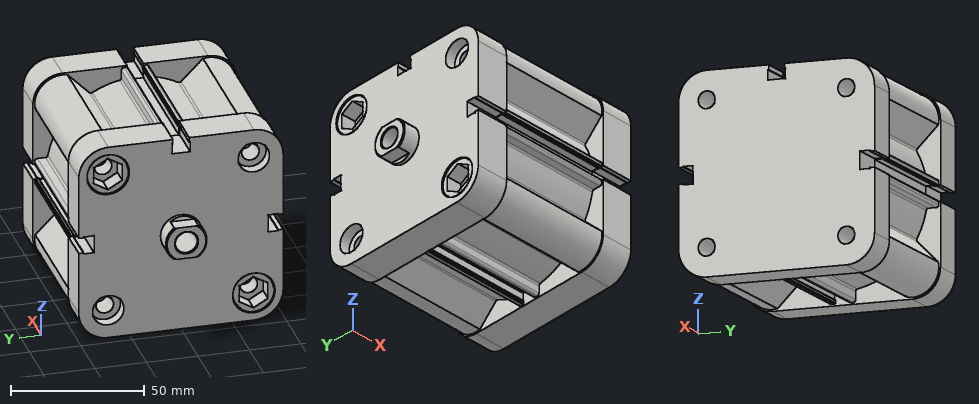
import cadquery as cq
import math

OVERALL_LENGTH = 88.0
ROD_OUT = 7.8
FRONT_CAP_LENGTH = 14.9
BARREL_LENGTH = 50.7
REAR_CAP_LENGTH = OVERALL_LENGTH - ROD_OUT - FRONT_CAP_LENGTH - BARREL_LENGTH

CAP_SIZE = 79.5
CAP_HALF = CAP_SIZE / 2
CAP_RADIUS = 11.4
SCREW_OFFSET = CAP_HALF - CAP_RADIUS
SCREW_HOLE_DIAMETER = 6.8
COUNTERBORE_DIAMETER = 12.1
COUNTERBORE_DEPTH = 4.8
HEAD_DIAMETER = 16.0
HEAD_RECESS_DEPTH = 0.5
HEAD_GROOVE_WIDTH = 0.22
HEAD_GROOVE_DEPTH = 1.8
HEX_FLATS = 11.2
HEX_DEPTH = 7.5

SLOT_DEPTH = 5.9
CAP_SLOT_MOUTH = 6.3
CAP_SLOT_WIDTH = 7.0
CAP_SLOT_LIP = 1.9
BARREL_SLOT_MOUTH = 5.6
BARREL_SLOT_WIDTH = 6.3
BARREL_SLOT_LIP = 2.2
BARREL_MOUTH_BEVEL = 0.35

BARREL_INSET = 0.7
BARREL_HALF = CAP_HALF - BARREL_INSET
TUBE_RADIUS = 34.5
POST_WIDTH = 17.7
POST_RADIUS = CAP_RADIUS - BARREL_INSET
RAIL_WIDTH = 10.7
RAIL_EDGE_RADIUS = 1.1
ROOT_RADIUS = 0.9

ROD_DIAMETER = 16.0
ROD_CHAMFER = 0.4
ROD_FLATS = 13.0
ROD_FLAT_LENGTH = 5.9
ROD_FLAT_RUNOUT = 0.4
ROD_BORE_DIAMETER = 8.5
ROD_BORE_DEPTH = 15.0
ROD_BORE_CHAMFER = 0.35
DRILL_TIP_ANGLE = 118

SOCKET_CORNERS = [(SCREW_OFFSET, SCREW_OFFSET), (-SCREW_OFFSET, -SCREW_OFFSET)]
COUNTERBORE_CORNERS = [(SCREW_OFFSET, -SCREW_OFFSET), (-SCREW_OFFSET, SCREW_OFFSET)]
CORNERS = SOCKET_CORNERS + COUNTERBORE_CORNERS
CAP_SLOT_ANGLES = [0, 90, 180]
SIDE_ANGLES = [0, 90, 180, 270]


def section_plane(x):
    """Cross-section plane at X = x: local x runs along Y, local y along Z."""
    return cq.Workplane("YZ", origin=(x, 0, 0))


def turned(solid, angle):
    return solid.rotate((0, 0, 0), (1, 0, 0), angle)


def slot_cutter(x, length, mouth, width, lip_depth):
    """T-slot on the +Y side, open to the outside."""
    floor = CAP_HALF - SLOT_DEPTH
    lip = CAP_HALF - lip_depth
    throat = section_plane(x).center((floor + CAP_SIZE) / 2, 0).rect(CAP_SIZE - floor, mouth).extrude(length)
    pocket = section_plane(x).center((floor + lip) / 2, 0).rect(lip - floor, width).extrude(length)
    return throat.union(pocket)


def cap_blank(x, length):
    """Rounded square cap with its slots and screw holes."""
    cap = section_plane(x).rect(CAP_SIZE, CAP_SIZE).extrude(length).edges("|X").fillet(CAP_RADIUS)
    cutter = slot_cutter(x, length, CAP_SLOT_MOUTH, CAP_SLOT_WIDTH, CAP_SLOT_LIP)
    for angle in CAP_SLOT_ANGLES:
        cap = cap.cut(turned(cutter, angle))
    holes = section_plane(x).pushPoints(CORNERS).circle(SCREW_HOLE_DIAMETER / 2).extrude(length)
    return cap.cut(holes)


def socket_cutter():
    """Hexagon socket, two corners pointing along Z, in a sunk head with a ring groove around it."""
    corner_diameter = HEX_FLATS / math.cos(math.pi / 6)
    hexagon = turned(section_plane(0).polygon(6, corner_diameter).extrude(HEX_DEPTH), 30)
    head_radius = HEAD_DIAMETER / 2
    outer_radius = head_radius + HEAD_GROOVE_WIDTH
    recess = section_plane(0).circle(outer_radius).extrude(HEAD_RECESS_DEPTH)
    groove = section_plane(0).circle(outer_radius).circle(head_radius).extrude(HEAD_GROOVE_DEPTH)
    return hexagon.union(recess).union(groove)


def make_front_cap():
    cap = cap_blank(0, FRONT_CAP_LENGTH)
    counterbores = (section_plane(0).pushPoints(COUNTERBORE_CORNERS)
                    .circle(COUNTERBORE_DIAMETER / 2).extrude(COUNTERBORE_DEPTH))
    rod_bore = section_plane(0).circle(ROD_DIAMETER / 2).extrude(FRONT_CAP_LENGTH)
    cap = cap.cut(counterbores).cut(rod_bore)
    for y, z in SOCKET_CORNERS:
        cap = cap.cut(socket_cutter().translate((0, y, z)))
    return cap


def make_rear_cap():
    return cap_blank(FRONT_CAP_LENGTH + BARREL_LENGTH, REAR_CAP_LENGTH)


def barrel_post():
    """Diagonal web from the axis towards +Y, its outer end rounded about the screw axis."""
    screw_radius = SCREW_OFFSET * math.sqrt(2)
    half = POST_WIDTH / 2
    shoulder = screw_radius + math.sqrt(POST_RADIUS ** 2 - half ** 2)
    return (section_plane(FRONT_CAP_LENGTH)
            .moveTo(0, -half)
            .lineTo(shoulder, -half)
            .threePointArc((screw_radius + POST_RADIUS, 0), (shoulder, half))
            .lineTo(0, half)
            .close()
            .extrude(BARREL_LENGTH))


def barrel_rail():
    """Slot rail on the +Y side with rounded outer edges."""
    return (section_plane(FRONT_CAP_LENGTH).center(BARREL_HALF / 2, 0)
            .rect(BARREL_HALF, RAIL_WIDTH).extrude(BARREL_LENGTH)
            .edges("|X and >Y").fillet(RAIL_EDGE_RADIUS))


def barrel_slot():
    """T-slot of the barrel with a bevelled mouth."""
    slot = slot_cutter(FRONT_CAP_LENGTH, BARREL_LENGTH,
                       BARREL_SLOT_MOUTH, BARREL_SLOT_WIDTH, BARREL_SLOT_LIP)
    half = BARREL_SLOT_MOUTH / 2
    bevel = (section_plane(FRONT_CAP_LENGTH)
             .moveTo(BARREL_HALF - BARREL_MOUTH_BEVEL, -half)
             .lineTo(BARREL_HALF, -half - BARREL_MOUTH_BEVEL)
             .lineTo(BARREL_HALF, half + BARREL_MOUTH_BEVEL)
             .lineTo(BARREL_HALF - BARREL_MOUTH_BEVEL, half)
             .close()
             .extrude(BARREL_LENGTH))
    return slot.union(bevel)


def on_tube_surface(edge):
    center = edge.Center()
    return abs(math.hypot(center.y, center.z) - TUBE_RADIUS) < 0.01


def make_barrel():
    barrel = section_plane(FRONT_CAP_LENGTH).circle(TUBE_RADIUS).extrude(BARREL_LENGTH)
    for angle in SIDE_ANGLES:
        barrel = barrel.union(turned(barrel_post(), angle + 45)).union(turned(barrel_rail(), angle))
    barrel = barrel.edges("|X").filter(on_tube_surface).fillet(ROOT_RADIUS)
    for angle in SIDE_ANGLES:
        barrel = barrel.cut(turned(barrel_slot(), angle))
    holes = (section_plane(FRONT_CAP_LENGTH).pushPoints(CORNERS)
             .circle(SCREW_HOLE_DIAMETER / 2).extrude(BARREL_LENGTH))
    return barrel.cut(holes)


def rod_flat_cutter():
    """Block above the upper wrench flat, with a sloping end."""
    outer = ROD_DIAMETER / 2
    flat = ROD_FLATS / 2
    flat_end = ROD_FLAT_LENGTH - ROD_OUT
    return (cq.Workplane("XZ", origin=(0, outer, 0))
            .moveTo(-ROD_OUT, flat)
            .lineTo(flat_end, flat)
            .lineTo(flat_end + ROD_FLAT_RUNOUT, outer)
            .lineTo(-ROD_OUT, outer)
            .close()
            .extrude(ROD_DIAMETER))


def make_rod():
    rod = (section_plane(-ROD_OUT).circle(ROD_DIAMETER / 2).extrude(ROD_OUT + FRONT_CAP_LENGTH)
           .faces("<X").chamfer(ROD_CHAMFER))
    for angle in [0, 180]:
        rod = rod.cut(turned(rod_flat_cutter(), angle))
    bore = ROD_BORE_DIAMETER / 2
    tip = bore / math.tan(math.radians(DRILL_TIP_ANGLE / 2))
    bore_cutter = (cq.Workplane("XY", origin=(-ROD_OUT, 0, 0))
                   .moveTo(0, 0)
                   .lineTo(0, bore + ROD_BORE_CHAMFER)
                   .lineTo(ROD_BORE_CHAMFER, bore)
                   .lineTo(ROD_BORE_DEPTH, bore)
                   .lineTo(ROD_BORE_DEPTH + tip, 0)
                   .close()
                   .revolve(360, (0, 0, 0), (1, 0, 0)))
    return rod.cut(bore_cutter)


front_cap = make_front_cap()
barrel = make_barrel()
rear_cap = make_rear_cap()
rod = make_rod()

result = cq.Compound.makeCompound([front_cap.val(), barrel.val(), rear_cap.val(), rod.val()])